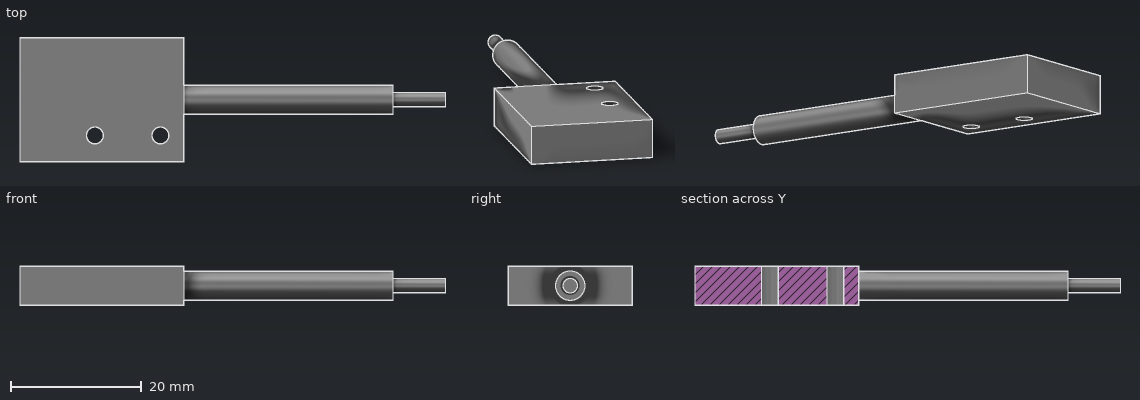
import cadquery as cq

overall_length = 65.0
head_length = 25.0
head_width = 19.0
head_height = 6.0

holder_size = 3.0

fibre_count = 24
fibre_diameter = 0.5
fibre_row_length = 16.1
fibre_pitch = fibre_row_length / (fibre_count - 1)

mount_hole_diameter = 2.55
mount_hole_spacing = 10.0
mount_hole_from_rear = 3.6
mount_hole_from_side = 4.0

sleeve_diameter = 4.5
sleeve_length = 32.0
tip_diameter = 2.2

sleeve_end = head_length + sleeve_length


def x_bar(length, width, height):
    """Rectangular bar that starts at the sensing face and is centred on the X axis."""
    return cq.Workplane("XY").box(length, width, height, centered=(False, True, True))


def make_head(holder_space):
    """Head block with its two mounting holes and the slot for the fibre holder."""
    rear_hole_x = head_length - mount_hole_from_rear
    hole_y = mount_hole_from_side - head_width / 2
    hole_points = [(rear_hole_x, hole_y), (rear_hole_x - mount_hole_spacing, hole_y)]
    head = x_bar(head_length, head_width, head_height)
    head = head.faces(">Z").workplane(origin=(0, 0, 0)).pushPoints(hole_points).hole(mount_hole_diameter)
    return head.cut(holder_space)


def make_fibres():
    """Row of fibres that run through the depth of the holder."""
    return (
        cq.Workplane("YZ")
        .rarray(fibre_pitch, 0.65, fibre_count, 1)
        .circle(fibre_diameter / 2)
        .extrude(holder_size)
    )


def make_cable():
    """Stepped round cable, revolved about the X axis."""
    sleeve_radius = sleeve_diameter / 2
    tip_radius = tip_diameter / 2
    return (
        cq.Workplane("XZ")
        .moveTo(head_length, 0)
        .lineTo(head_length, sleeve_radius)
        .lineTo(sleeve_end, sleeve_radius)
        .lineTo(sleeve_end, tip_radius)
        .lineTo(overall_length, tip_radius)
        .lineTo(overall_length, 0)
        .close()
        .revolve(360, (0, 0, 0), (1, 0, 0))
    )


holder_block = x_bar(holder_size, head_width, holder_size)
fibres = make_fibres()
holder = holder_block.cut(fibres)

result = (
    make_head(holder_block)
    .union(holder, clean=False)
    .union(fibres, clean=False)
    .union(make_cable(), clean=False)
)